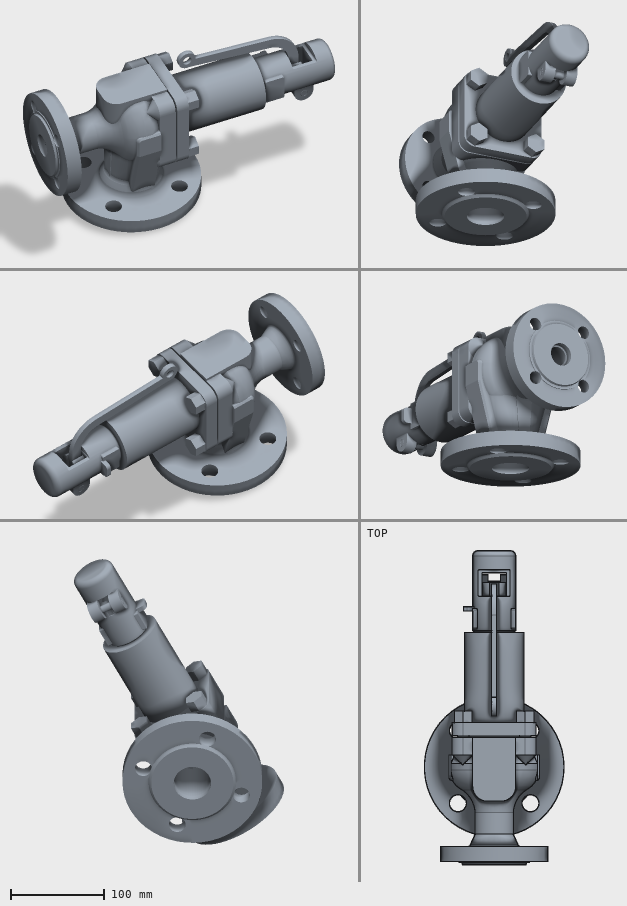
import cadquery as cq
import math


INLET_FACE_Y = -105.0
OUTLET_FACE_Z = -100.0
CAP_END_Y = 232.0

INLET_FLANGE_R = 57.5
INLET_FLANGE_BACK_Y = -85.0
INLET_FLANGE_FRONT_Y = -101.5
INLET_STEP_Y = -102.5
INLET_STEP_R = 38.0
INLET_FACE_BASE_R = 35.0
INLET_FACE_R = 34.0
INLET_PCD = 85.0
INLET_HOLE_D = 14.0
INLET_BORE_D = 25.0
INLET_BORE_DEPTH = 8.0
SEAT_BORE_D = 21.0
PIPE_R = 20.5
PIPE_START_Y = -49.0
INLET_FLARE_Y = -72.0
INLET_FLARE_END_Y = -83.0
INLET_FLARE_R = 25.5
INLET_FLARE_FOOT_R = 27.5
INLET_FLARE_BLEND_MID = (26.2, -84.4)

RIB_REACH = 48.5
RIB_FOOT_X = 31.5
RIB_TOP_Z = 12.3
RIB_BEND_Z = -12.0
RIB_FOOT_Z = -76.0
RIB_FRONT_Y = -14.5
RIB_CORNER_R = 5.0
RIB_CHAMFER = 2.0

OUTLET_FLANGE_R = 75.0
OUTLET_FLANGE_TOP_Z = -81.0
OUTLET_FLANGE_BOTTOM_Z = -97.0
OUTLET_HUB_Z = -80.0
OUTLET_FACE_BASE_R = 47.0
OUTLET_FACE_R = 44.0
OUTLET_PCD = 110.0
OUTLET_HOLE_D = 18.0
OUTLET_BORE_D = 40.0
COLUMN_R = 28.5
COLUMN_FOOT_Z = -65.0
FLARE_TOP_MID = (29.2, -67.5)
FLARE_START = (30.5, -69.5)
FLARE_END = (34, -76)
FLARE_FOOT_MID = (35.6, -78.8)
FLARE_FOOT_R = 38.0
SHOULDER_Z = RIB_BEND_Z
SHOULDER_HALF_X = 46.5

CHAMBER_R = 47.9
CHAMBER_BACK_R = 44.0
CHAMBER_BACK_Y = 4.0
CHAMBER_ROUND_Y = -3.0
CHAMBER_ROUND_MID = (44.5, -15)
NECK_BLEND_START = (34.5, -24.5)
NECK_BLEND_MID = (24, -36)
CHAMBER_BORE_D = 70.0
CHAMBER_BORE_END_Y = -18.0

PLATE_HALF = 45.0
PLATE_CORNER_R = 11.75
BOLT_OFFSET = PLATE_HALF - PLATE_CORNER_R
HOUSING_FLANGE_Y0 = 13.0
HOUSING_FLANGE_Y1 = 31.7
BONNET_FLANGE_Y0 = 33.5
BONNET_FLANGE_Y1 = 47.5
BOSS_TIP_Y = 1.5
BOLT_D = 12.0
BOLT_TIP_Y = 15.0
BOLT_HEAD_HEIGHT = 12.5
BOLT_ACROSS_FLATS = 19.0

PAD_HALF_WIDTH = 23.0
PAD_TOP_Z = 48.0
PAD_END_Y = -36.6
PAD_CORNER_R = 15.5

GUSSET_HALF_TOP = 12.0
GUSSET_HALF_FOOT = 6.0
GUSSET_BLEND_R = 11.0

BONNET_R = 32.0
BONNET_END_Y = 144.4
NECK_D = 25.0
NECK_END_Y = 198.0
NECK_SLOT_WIDTH = 10.0
NECK_SLOT_Y = 183.5

CAP_R = 23.2
CAP_END_FILLET = 6.0
CAP_FOOT_CHAMFER = 2.0
SLOT_FLOOR_Z = 15.6
SLOT_Y0 = 183.0
SLOT_Y1 = 211.5
SLOT_CORNER_R = 1.0
WINDOW_HALF_WIDTH = 13.0
WINDOW_Y1 = 208.0
WRENCH_HALF_HEIGHT = 14.5
WRENCH_Y0 = 148.0
WRENCH_Y1 = 170.0
WRENCH_CORNER_R = 1.5
EAR_INNER_X = 6.6
EAR_OUTER_X = 18.6
EAR_R = 11.0
PIN_Y = 195.3
PIN_Z = -22.0
PIN_D = 8.0
PIN_CHAMFER = 0.5
EAR_CENTRE_Z = -20.5
TAB_REACH = 33.0
TAB_HALF_WIDTH = 8.5
TAB_Y0 = 167.0
TAB_Y1 = 172.0
TAB_CORNER_R = 4.0

LEVER_THICKNESS = 5.5
BEND_Y = 160.5
BEND_Z = 18.5
BEND_OUTER_R = 35.5
BEND_INNER_R = 24.0
LEVER_LEG_FRONT_Y = BEND_Y + BEND_OUTER_R
LEVER_LEG_BACK_Y = BEND_Y + BEND_INNER_R
EYE_Y = 64.8
EYE_Z = 60.49
EYE_R = 10.0
EYE_HOLE_D = 10.0
ARM_TOP_END = (72.0, 60.0)
ARM_BOTTOM_END = (67.0, 50.8)
ARM_TILT = math.radians(4.0)
LEVER_FOOT_Z = PIN_Z

SIGNS = (-1, 1)


def rod_y(radius, y0, y1, x=0.0, z=0.0):
    """Cylinder parallel to Y from y0 up to y1."""
    return cq.Workplane("XZ", origin=(x, y1, z)).circle(radius).extrude(y1 - y0)


def rod_z(radius, z0, z1, x=0.0, y=0.0):
    """Cylinder parallel to Z from z0 up to z1."""
    return cq.Workplane("XY", origin=(x, y, z0)).circle(radius).extrude(z1 - z0)


def block(x0, x1, y0, y1, z0, z1):
    """Axis-aligned box between the given limits."""
    return cq.Workplane("XY").box(x1 - x0, y1 - y0, z1 - z0, centered=False).translate((x0, y0, z0))


def joint_plate(y0, y1):
    """Rounded square flange of the bolted joint."""
    plate = block(-PLATE_HALF, PLATE_HALF, y0, y1, -PLATE_HALF, PLATE_HALF)
    return plate.edges("|Y").fillet(PLATE_CORNER_R)


def bolt_positions():
    """X and Z of the four bolts."""
    return [(BOLT_OFFSET * sx, BOLT_OFFSET * sz) for sx in SIGNS for sz in SIGNS]


def diagonal_positions(pitch_diameter):
    """Four hole centres on the diagonals of a pitch circle."""
    offset = pitch_diameter / 2 * math.sqrt(0.5)
    return [(offset * sx, offset * sy) for sx in SIGNS for sy in SIGNS]


def inlet_and_chamber():
    """Chamber, neck, pipe and inlet flange turned about the Y axis."""
    return (
        cq.Workplane("XY")
        .moveTo(0, HOUSING_FLANGE_Y0)
        .lineTo(CHAMBER_BACK_R, HOUSING_FLANGE_Y0)
        .lineTo(CHAMBER_R, CHAMBER_BACK_Y)
        .lineTo(CHAMBER_R, CHAMBER_ROUND_Y)
        .threePointArc(CHAMBER_ROUND_MID, NECK_BLEND_START)
        .threePointArc(NECK_BLEND_MID, (PIPE_R, PIPE_START_Y))
        .lineTo(PIPE_R, INLET_FLARE_Y)
        .lineTo(INLET_FLARE_R, INLET_FLARE_END_Y)
        .threePointArc(INLET_FLARE_BLEND_MID, (INLET_FLARE_FOOT_R, INLET_FLANGE_BACK_Y))
        .lineTo(INLET_FLANGE_R, INLET_FLANGE_BACK_Y)
        .lineTo(INLET_FLANGE_R, INLET_FLANGE_FRONT_Y)
        .lineTo(INLET_STEP_R, INLET_FLANGE_FRONT_Y)
        .lineTo(INLET_STEP_R, INLET_STEP_Y)
        .lineTo(INLET_FACE_BASE_R, INLET_STEP_Y)
        .lineTo(INLET_FACE_R, INLET_FACE_Y)
        .lineTo(0, INLET_FACE_Y)
        .close()
        .revolve(360, (0, 0, 0), (0, 1, 0))
    )


def outlet_branch():
    """Flared foot and outlet flange turned about the Z axis."""
    return (
        cq.Workplane("XZ")
        .moveTo(0, COLUMN_FOOT_Z)
        .lineTo(COLUMN_R, COLUMN_FOOT_Z)
        .threePointArc(FLARE_TOP_MID, FLARE_START)
        .lineTo(*FLARE_END)
        .threePointArc(FLARE_FOOT_MID, (FLARE_FOOT_R, OUTLET_HUB_Z))
        .lineTo(OUTLET_FLANGE_R, OUTLET_FLANGE_TOP_Z)
        .lineTo(OUTLET_FLANGE_R, OUTLET_FLANGE_BOTTOM_Z)
        .lineTo(OUTLET_FACE_BASE_R, OUTLET_FLANGE_BOTTOM_Z)
        .lineTo(OUTLET_FACE_R, OUTLET_FACE_Z)
        .lineTo(0, OUTLET_FACE_Z)
        .close()
        .revolve(360, (0, 0, 0), (0, 1, 0))
    )


def column():
    """Column that widens from a circle at its foot to an ellipse under the chamber."""
    taper = (
        cq.Workplane("XY", origin=(0, 0, COLUMN_FOOT_Z))
        .circle(COLUMN_R)
        .workplane(offset=SHOULDER_Z - COLUMN_FOOT_Z)
        .ellipse(SHOULDER_HALF_X, COLUMN_R)
        .loft(ruled=True)
    )
    shoulder = (
        cq.Workplane("XY", origin=(0, 0, SHOULDER_Z)).ellipse(SHOULDER_HALF_X, COLUMN_R).extrude(-SHOULDER_Z)
    )
    return taper.union(shoulder)


def top_pad():
    """Flat-topped pad with a rounded front end."""
    pad = block(-PAD_HALF_WIDTH, PAD_HALF_WIDTH, PAD_END_Y, HOUSING_FLANGE_Y1, 0, PAD_TOP_Z)
    return pad.edges("|Z and <Y").fillet(PAD_CORNER_R)


def side_ribs():
    """Pair of ribs that run from the chamber sides down to the outlet foot."""
    ribs = (
        cq.Workplane("XZ", origin=(0, HOUSING_FLANGE_Y0, 0))
        .polyline([
            (-RIB_REACH, RIB_TOP_Z),
            (RIB_REACH, RIB_TOP_Z),
            (RIB_REACH, RIB_BEND_Z),
            (RIB_FOOT_X, RIB_FOOT_Z),
            (-RIB_FOOT_X, RIB_FOOT_Z),
            (-RIB_REACH, RIB_BEND_Z),
        ])
        .close()
        .extrude(HOUSING_FLANGE_Y0 - RIB_FRONT_Y)
    )
    ribs = ribs.edges("|X and >Z and <Y").fillet(RIB_CORNER_R)
    return ribs.faces("<Y").edges("not |X").chamfer(RIB_CHAMFER)


def neck_gusset():
    """Flat-faced gusset in the corner between the inlet pipe and the column."""
    front = -COLUMN_R
    foot_z = RIB_FOOT_Z
    side = (
        cq.Workplane("YZ")
        .moveTo(0, foot_z)
        .lineTo(front, foot_z)
        .lineTo(front, -PIPE_R - GUSSET_BLEND_R)
        .radiusArc((front - GUSSET_BLEND_R, -PIPE_R), -GUSSET_BLEND_R)
        .lineTo(front - GUSSET_BLEND_R, -PIPE_R / 2)
        .lineTo(0, -PIPE_R / 2)
        .close()
        .extrude(GUSSET_HALF_TOP, both=True)
    )
    taper = (
        cq.Workplane("XZ")
        .polyline([
            (-GUSSET_HALF_TOP, 0),
            (GUSSET_HALF_TOP, 0),
            (GUSSET_HALF_FOOT, foot_z),
            (-GUSSET_HALF_FOOT, foot_z),
        ])
        .close()
        .extrude(-INLET_FACE_Y)
    )
    return side.intersect(taper)


def bolt_boss(x, z):
    """Corner boss that ends in a cone against the chamber."""
    height = HOUSING_FLANGE_Y0 - BOSS_TIP_Y
    cone = cq.Solid.makeCone(
        PLATE_CORNER_R, 0, height, cq.Vector(x, HOUSING_FLANGE_Y0, z), cq.Vector(0, -1, 0)
    )
    return cq.Workplane(obj=cone)


def build_housing():
    housing = inlet_and_chamber()
    for feature in (outlet_branch(), column(), top_pad(), side_ribs(), neck_gusset()):
        housing = housing.union(feature)
    housing = housing.union(joint_plate(HOUSING_FLANGE_Y0, HOUSING_FLANGE_Y1))
    for x, z in bolt_positions():
        housing = housing.union(bolt_boss(x, z))
    for x, z in bolt_positions():
        housing = housing.cut(rod_y(BOLT_D / 2, BOLT_TIP_Y, HOUSING_FLANGE_Y1, x, z))
    for x, z in diagonal_positions(INLET_PCD):
        housing = housing.cut(rod_y(INLET_HOLE_D / 2, INLET_STEP_Y, INLET_FLANGE_BACK_Y, x, z))
    for x, y in diagonal_positions(OUTLET_PCD):
        housing = housing.cut(rod_z(OUTLET_HOLE_D / 2, OUTLET_FLANGE_BOTTOM_Z, OUTLET_HUB_Z, x, y))
    housing = housing.cut(rod_y(CHAMBER_BORE_D / 2, CHAMBER_BORE_END_Y, HOUSING_FLANGE_Y1))
    housing = housing.cut(rod_y(SEAT_BORE_D / 2, INLET_FACE_Y, CHAMBER_BORE_END_Y))
    housing = housing.cut(rod_y(INLET_BORE_D / 2, INLET_FACE_Y, INLET_FACE_Y + INLET_BORE_DEPTH))
    return housing.cut(rod_z(OUTLET_BORE_D / 2, OUTLET_FACE_Z, 0))


def build_bonnet():
    bonnet = joint_plate(BONNET_FLANGE_Y0, BONNET_FLANGE_Y1)
    spigot = rod_y(CHAMBER_BORE_D / 2, HOUSING_FLANGE_Y0, BONNET_FLANGE_Y0)
    barrel = rod_y(BONNET_R, BONNET_FLANGE_Y1, BONNET_END_Y)
    neck = rod_y(NECK_D / 2, BONNET_END_Y, NECK_END_Y)
    half_slot = NECK_SLOT_WIDTH / 2
    lever_slot = block(-half_slot, half_slot, NECK_SLOT_Y, NECK_END_Y, -NECK_D, NECK_D)
    bonnet = bonnet.union(spigot).union(barrel).union(neck.cut(lever_slot))
    for x, z in bolt_positions():
        bonnet = bonnet.cut(rod_y(BOLT_D / 2, BONNET_FLANGE_Y0, BONNET_FLANGE_Y1, x, z))
    return bonnet


def build_bolt(x, z):
    head_diameter = BOLT_ACROSS_FLATS / math.cos(math.pi / 6)
    head = (
        cq.Workplane("XZ", origin=(x, BONNET_FLANGE_Y1, z))
        .transformed(rotate=(0, 0, 90))
        .polygon(6, head_diameter)
        .extrude(-BOLT_HEAD_HEIGHT)
    )
    return head.union(rod_y(BOLT_D / 2, BOLT_TIP_Y, BONNET_FLANGE_Y1, x, z))


def cap_ears():
    """Two rounded lugs under the cap that carry the pin."""
    ears = (
        cq.Workplane("YZ", origin=(-EAR_OUTER_X, 0, 0))
        .moveTo(PIN_Y - EAR_R, 0)
        .lineTo(PIN_Y - EAR_R, EAR_CENTRE_Z)
        .threePointArc((PIN_Y, EAR_CENTRE_Z - EAR_R), (PIN_Y + EAR_R, EAR_CENTRE_Z))
        .lineTo(PIN_Y + EAR_R, 0)
        .close()
        .extrude(2 * EAR_OUTER_X)
    )
    lug_space = block(-CAP_R, CAP_R, SLOT_Y0, SLOT_Y1, -2 * CAP_R, -NECK_D / 2)
    lever_space = block(-EAR_INNER_X, EAR_INNER_X, SLOT_Y0, SLOT_Y1, -2 * CAP_R, 0)
    return ears.intersect(lug_space).cut(lever_space)


def seal_tab():
    """Small rounded tab on the -X side of the cap."""
    tab = block(-TAB_REACH, 0, TAB_Y0, TAB_Y1, -TAB_HALF_WIDTH, TAB_HALF_WIDTH)
    return tab.edges("|Y and <X").fillet(TAB_CORNER_R)


def wrench_block():
    """Flat-sided wrench pads on the +X and -X sides of the cap."""
    pads = block(-CAP_R, CAP_R, WRENCH_Y0, WRENCH_Y1, -WRENCH_HALF_HEIGHT, WRENCH_HALF_HEIGHT)
    return pads.edges("|X").fillet(WRENCH_CORNER_R)


def build_cap():
    cap = rod_y(CAP_R, BONNET_END_Y, CAP_END_Y)
    cap = cap.faces(">Y").edges().fillet(CAP_END_FILLET)
    cap = cap.faces("<Y").edges().chamfer(CAP_FOOT_CHAMFER)
    cap = cap.union(wrench_block())
    cap = cap.union(seal_tab())
    slot = block(-CAP_R, CAP_R, SLOT_Y0, SLOT_Y1, SLOT_FLOOR_Z, CAP_R)
    cap = cap.cut(slot.edges("|X and <Z").fillet(SLOT_CORNER_R))
    upper_window = block(-WINDOW_HALF_WIDTH, WINDOW_HALF_WIDTH, NECK_SLOT_Y, WINDOW_Y1, 0, CAP_R)
    lower_window = block(-WINDOW_HALF_WIDTH, WINDOW_HALF_WIDTH, NECK_END_Y, WINDOW_Y1, -CAP_R, 0)
    half_lever = LEVER_THICKNESS / 2
    lever_slot = block(-half_lever, half_lever, LEVER_LEG_BACK_Y, LEVER_LEG_FRONT_Y, -CAP_R, 0)
    cap = cap.cut(upper_window).cut(lower_window).cut(lever_slot).cut(rod_y(NECK_D / 2, BONNET_END_Y, WINDOW_Y1))
    cap = cap.union(cap_ears())
    return cap.cut(pin_cylinder())


def pin_cylinder():
    start = (-EAR_OUTER_X, PIN_Y, PIN_Z)
    return cq.Workplane("YZ", origin=start).circle(PIN_D / 2).extrude(2 * EAR_OUTER_X)


def build_pin():
    return pin_cylinder().faces("<X or >X").edges().chamfer(PIN_CHAMFER)


def build_lever():
    """Bent lever: an upright leg, a round bend and a nearly straight arm with an eye."""
    def on_bend(radius, angle):
        return (BEND_Y + radius * math.cos(angle), BEND_Z + radius * math.sin(angle))

    arm_angle = math.pi / 2 - ARM_TILT
    mid_angle = arm_angle / 2
    lever = (
        cq.Workplane("YZ")
        .moveTo(LEVER_LEG_FRONT_Y, LEVER_FOOT_Z)
        .lineTo(*on_bend(BEND_OUTER_R, 0))
        .threePointArc(on_bend(BEND_OUTER_R, mid_angle), on_bend(BEND_OUTER_R, arm_angle))
        .lineTo(*ARM_TOP_END)
        .lineTo(*ARM_BOTTOM_END)
        .lineTo(*on_bend(BEND_INNER_R, arm_angle))
        .threePointArc(on_bend(BEND_INNER_R, mid_angle), on_bend(BEND_INNER_R, 0))
        .lineTo(LEVER_LEG_BACK_Y, LEVER_FOOT_Z)
        .close()
        .extrude(LEVER_THICKNESS / 2, both=True)
    )
    eye = cq.Workplane("YZ").center(EYE_Y, EYE_Z)
    lever = lever.union(eye.circle(EYE_R).extrude(LEVER_THICKNESS / 2, both=True))
    lever = lever.cut(eye.circle(EYE_HOLE_D / 2).extrude(LEVER_THICKNESS, both=True))
    return lever.cut(pin_cylinder())


housing = build_housing()
cap = build_cap()
pin = build_pin()
lever = build_lever()
bonnet = build_bonnet()
bolts = [build_bolt(x, z) for x, z in bolt_positions()]

result = cq.Compound.makeCompound([
    housing.val(),
    bonnet.val(),
    cap.val(),
    pin.val(),
    lever.val(),
    *[bolt.val() for bolt in bolts],
])